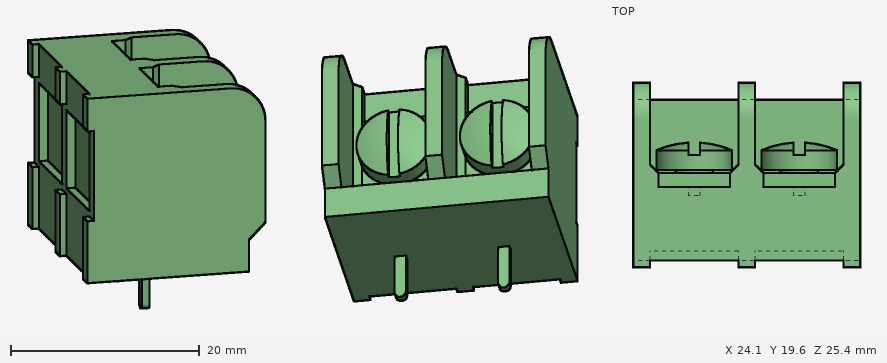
import cadquery as cq


poles = 2
width = 24.07
depth = 19.55
total_height = 25.35
pin_length = 5.05
height = total_height - pin_length
wall = 1.8
bay_width = (width - (poles + 1) * wall) / poles
pitch = bay_width + wall
top_round = 3.83
sill_overhang = 1.8
sill_height = 3.5
sill_y = depth - sill_overhang

rib_depth = 0.7
lower_rib_height = 6.82
upper_rib_height = 3.6
window_depth = 1.0
window_bottom = 7.42
window_top = 16.01

clamp_face_y = 10.0
bay_chamfer = 0.85
slot_depth_y = 1.52
slot_bottom = window_top

screw_z = (window_bottom + window_top) / 2
neck_diameter = 4.0
neck_length = 0.3
head_diameter = 8.03
rim_height = 2.08
dome_height = 0.84
drive_width = 1.22
drive_depth = 1.32

pin_width = 1.22
pin_thickness = 0.84
pin_y = 8.0

wall_starts = [i * pitch for i in range(poles + 1)]
bay_centers = [wall + bay_width / 2 + i * pitch for i in range(poles)]


def box(x_size, y_size, z_size, x_mid, y_start, z_start):
    """Box centred on x_mid, starting at y_start and z_start."""
    block = cq.Workplane("XY").box(x_size, y_size, z_size, centered=(True, False, False))
    return block.translate((x_mid, y_start, z_start))


def make_housing():
    """Side profile with a rounded top corner and a chamfered underside overhang."""
    profile = (
        cq.Workplane("YZ")
        .moveTo(rib_depth, 0)
        .lineTo(sill_y, 0)
        .lineTo(sill_y, sill_height)
        .lineTo(depth, sill_height + sill_overhang)
        .lineTo(depth, height - top_round)
        .radiusArc((depth - top_round, height), -top_round)
        .lineTo(rib_depth, height)
        .close()
    )
    return profile.extrude(width)


def make_ribs(wall_start):
    """Upper and lower rib in line with one dividing wall."""
    x_mid = wall_start + wall / 2
    lower = box(wall, rib_depth, lower_rib_height, x_mid, 0, 0)
    upper = box(wall, rib_depth, upper_rib_height, x_mid, 0, height - upper_rib_height)
    return lower.union(upper)


def make_bay(x_mid):
    """Wire bay, open at the top and at the +Y side."""
    half_bay = bay_width / 2
    half_face = half_bay - bay_chamfer
    chamfer_y = clamp_face_y + bay_chamfer
    outline = [
        (x_mid - half_face, clamp_face_y),
        (x_mid + half_face, clamp_face_y),
        (x_mid + half_bay, chamfer_y),
        (x_mid + half_bay, depth),
        (x_mid - half_bay, depth),
        (x_mid - half_bay, chamfer_y),
    ]
    bay = cq.Workplane("XY").workplane(offset=sill_height).polyline(outline).close()
    bay = bay.extrude(height - sill_height)
    slot = box(
        2 * half_face, slot_depth_y, height - slot_bottom,
        x_mid, clamp_face_y - slot_depth_y, slot_bottom,
    )
    return bay.union(slot)


def make_window(x_mid):
    """Shallow rectangular recess in the closed face."""
    return box(bay_width, window_depth, window_top - window_bottom, x_mid, rib_depth, window_bottom)


def make_screw(x_mid):
    """Domed, slotted screw head on a short neck."""
    neck_radius = neck_diameter / 2
    head_radius = head_diameter / 2
    rim_end = neck_length + rim_height
    head_end = rim_end + dome_height
    dome_radius = (head_radius**2 + dome_height**2) / (2 * dome_height)
    screw = (
        cq.Workplane("XY")
        .moveTo(0, 0)
        .lineTo(neck_radius, 0)
        .lineTo(neck_radius, neck_length)
        .lineTo(head_radius, neck_length)
        .lineTo(head_radius, rim_end)
        .radiusArc((0, head_end), -dome_radius)
        .close()
        .revolve(360, (0, 0, 0), (0, 1, 0))
    )
    drive_slot = box(drive_width, drive_depth, head_diameter, 0, head_end - drive_depth, -head_diameter / 2)
    return screw.cut(drive_slot).translate((x_mid, clamp_face_y, screw_z))


def make_pin(x_mid):
    """Flat solder pin with a full-round tip."""
    half_width = pin_width / 2
    tip_start = half_width - pin_length
    outline = (
        cq.Workplane("XZ")
        .moveTo(-half_width, 0)
        .lineTo(-half_width, tip_start)
        .threePointArc((0, -pin_length), (half_width, tip_start))
        .lineTo(half_width, 0)
        .close()
    )
    return outline.extrude(pin_thickness / 2, both=True).translate((x_mid, pin_y, 0))


result = make_housing()
for start in wall_starts:
    result = result.union(make_ribs(start))
for center in bay_centers:
    result = result.cut(make_bay(center)).cut(make_window(center))
    result = result.union(make_screw(center)).union(make_pin(center))